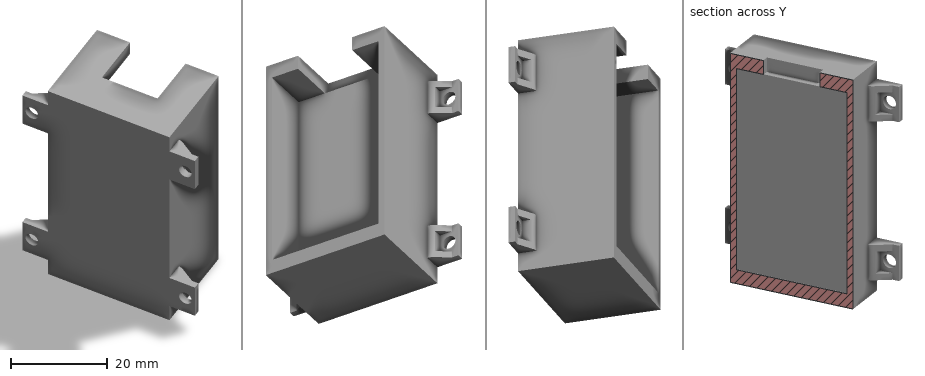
import cadquery as cq

body_width = 28.7
body_depth = 21.0
body_height = 52.0
base_y = -body_depth / 2
open_y = body_depth / 2

side_wall = 1.5
end_wall = 3.25
cavity_depth = 10.6

notch_width = 13.1
notch_depth = 12.0

tab_length = 6.0
tab_height = 8.0
tab_thickness = 1.5
tab_spacing = 36.0
hole_diameter = 3.0
hole_edge_distance = 2.25

gusset_rise = 4.0
gusset_foot = 4.5
crest_length = 0.6
crest_radius = 2.0
pocket_width = 5.0
pocket_length = 2 * hole_edge_distance


def make_body():
    """Open box with a notched top end."""
    body = cq.Workplane("XY").box(body_width, body_depth, body_height)
    cavity = cq.Workplane("XY").box(
        body_width - 2 * side_wall,
        cavity_depth,
        body_height - 2 * end_wall,
    ).translate((0, open_y - cavity_depth / 2, 0))
    notch = cq.Workplane("XY").box(notch_width, notch_depth, end_wall).translate(
        (0, open_y - notch_depth / 2, (body_height - end_wall) / 2)
    )
    return body.cut(cavity).cut(notch)


def make_tab(center_z):
    """Tab on the +X side: gusset profile in XY, extruded along Z, with its pocket and hole."""
    root_x = body_width / 2
    tip_x = root_x + tab_length
    pad_y = base_y + tab_thickness
    crest_y = base_y + gusset_rise
    crest = (root_x + crest_length, crest_y)
    foot = (root_x + gusset_foot, pad_y)
    tab = (
        cq.Workplane("XY")
        .moveTo(root_x, base_y)
        .lineTo(tip_x, base_y)
        .lineTo(tip_x, pad_y)
        .lineTo(*foot)
        .lineTo(*crest)
        .lineTo(root_x, crest_y)
        .close()
        .extrude(tab_height)
        .translate((0, 0, -tab_height / 2))
    )
    tab = tab.edges(cq.selectors.NearestToPointSelector((*crest, 0))).fillet(crest_radius)

    pocket_rise = gusset_rise - tab_thickness
    pocket = cq.Workplane("XY").box(pocket_length, pocket_rise, pocket_width).translate(
        (tip_x - pocket_length / 2, pad_y + pocket_rise / 2, 0)
    )
    hole = (
        cq.Workplane("XZ", origin=(tip_x - hole_edge_distance, pad_y, 0))
        .circle(hole_diameter / 2)
        .extrude(tab_thickness)
    )
    return tab.cut(pocket).cut(hole).translate((0, 0, center_z))


result = make_body()
for center_z in (-tab_spacing / 2, tab_spacing / 2):
    tab = make_tab(center_z)
    result = result.union(tab).union(tab.mirror("YZ"))